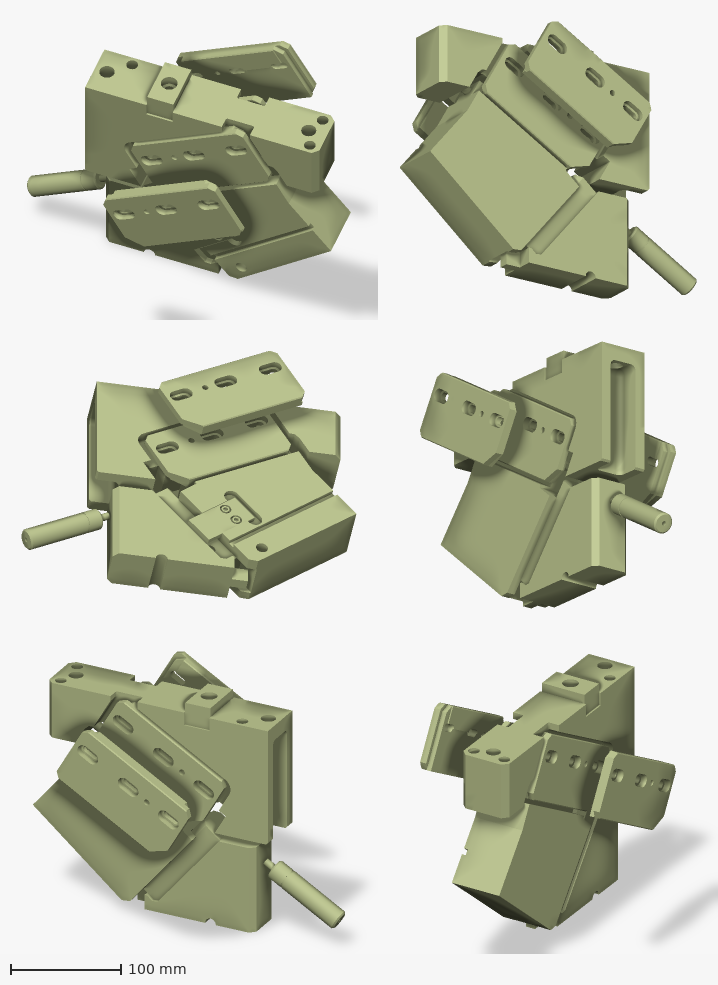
import cadquery as cq
import math


DRIVE_ANGLE = 30.0
SLIDE_ANGLE = 40.0
FRAME_TURN = math.radians(SLIDE_ANGLE - DRIVE_ANGLE)


def tilted_plane(angle):
    """XZ plane facing -Y, with its local x axis raised by the angle."""
    turn = math.radians(angle)
    return cq.Plane(origin=(0, 0, 0), xDir=(math.cos(turn), 0, math.sin(turn)), normal=(0, -1, 0))


LEVEL = tilted_plane(0)
DRIVE = tilted_plane(DRIVE_ANGLE)
SLIDE = tilted_plane(SLIDE_ANGLE)


def to_level(plane, points):
    """X and Z of points given in a tilted plane."""
    return [(v.x, v.z) for v in (plane.toWorldCoords(point) for point in points)]


def drive_to_slide(u, v):
    """Slide-frame position of a point given in the drive frame."""
    along = u * math.cos(FRAME_TURN) + v * math.sin(FRAME_TURN)
    across = v * math.cos(FRAME_TURN) - u * math.sin(FRAME_TURN)
    return along, across


def prism(plane, points, y_min, y_max):
    """Outline in the given plane, filled from y_min to y_max."""
    outline = cq.Workplane(plane).workplane(offset=-y_max).polyline(points).close()
    return outline.extrude(y_max - y_min)


def rectangle(x_min, x_max, y_min, y_max):
    """Corner points, counter-clockwise from the lower left."""
    return [(x_min, y_min), (x_max, y_min), (x_max, y_max), (x_min, y_max)]


def both_sides(body):
    """The body together with its mirror image across Y = 0."""
    return body.union(body.mirror("XZ"))


DRILL_TIP_ANGLE = 118.0


def drilled_hole(plane, place, depth, diameter):
    """Drill shape with a conical tip, entering at the place against the normal of the plane."""
    tip = diameter / 2 / math.tan(math.radians(DRILL_TIP_ANGLE / 2))
    half_section = [(0, 0), (diameter / 2, 0), (diameter / 2, -depth), (0, -depth - tip)]
    axis_plane = cq.Plane(plane.toWorldCoords(place), xDir=plane.xDir, normal=-plane.yDir)
    return cq.Workplane(axis_plane).polyline(half_section).close().revolve(360, (0, 0), (0, 1))


UNIT_WIDTH = 50.2
UNIT_HALF = UNIT_WIDTH / 2
DRIVER_HALF = 24.3
BASE_HALF = 19.8
KEY_HALF = 22.5
WEB_Y_MIN = -13.7
WEB_Y_MAX = 16.7

PLATE_LEFT = 95.5
PLATE_RIGHT = 221.0
PLATE_BOTTOM = 52.0
PLATE_TOP = 114.3
PLATE_CUT = 14.5
PLATE_CORNER = 5.8
PLATE_EDGE = 1.0
FLANGE_THICK = 6.5
PAD_THICK = 4.5
WEAR_THICK = 1.05
PAD_INSET = 4.3
PAD_CORNER = 7.3
PLATE_THICK = FLANGE_THICK + PAD_THICK + WEAR_THICK
PLATE_INNER = UNIT_HALF - PLATE_THICK
WITHDRAWN_SHIFT = 70.0
SLOT_PITCH = 47.5
SLOT_ROW = 94.0
SLOT_MIDDLE = 157.8
SLOT_PLACES = [(SLOT_MIDDLE + i * SLOT_PITCH, SLOT_ROW) for i in (-1, 0, 1)]
SLOT_LENGTH, SLOT_WIDTH = 17.0, 7.3
SEAT_LENGTH, SEAT_WIDTH, SEAT_DEPTH = 22.5, 12.0, 6.0
PIN_HOLE_PLACE = (136.0, SLOT_ROW)
PIN_HOLE_DIAMETER = 5.8


def make_plate():
    """Retaining plate of the -Y side, fitted in the driver."""
    flange_base = -(UNIT_HALF - FLANGE_THICK)
    flange_outline = [
        (PLATE_LEFT + PLATE_CUT, PLATE_BOTTOM),
        (PLATE_RIGHT - PLATE_CORNER, PLATE_BOTTOM),
        (PLATE_RIGHT, PLATE_BOTTOM + PLATE_CORNER),
        (PLATE_RIGHT, PLATE_TOP - PLATE_CORNER),
        (PLATE_RIGHT - PLATE_CORNER, PLATE_TOP),
        (PLATE_LEFT + PLATE_CORNER, PLATE_TOP),
        (PLATE_LEFT, PLATE_TOP - PLATE_CORNER),
        (PLATE_LEFT, PLATE_BOTTOM + PLATE_CUT),
    ]
    long_edges = cq.selectors.ParallelDirSelector(DRIVE.xDir)
    plate = prism(DRIVE, flange_outline, -UNIT_HALF, flange_base)
    plate = plate.faces("<Y").edges(long_edges).chamfer(PLATE_EDGE)

    pad_left = PLATE_LEFT + PAD_INSET
    pad_right = PLATE_RIGHT - PAD_INSET
    pad_outline = [
        (PLATE_LEFT + PLATE_CUT, PLATE_BOTTOM),
        (pad_right, PLATE_BOTTOM),
        (pad_right, PLATE_TOP - PAD_CORNER),
        (pad_right - PAD_CORNER, PLATE_TOP),
        (pad_left + PAD_CORNER, PLATE_TOP),
        (pad_left, PLATE_TOP - PAD_CORNER),
        (pad_left, PLATE_BOTTOM + PLATE_CUT),
    ]
    pad_inner = flange_base + PAD_THICK
    plate = plate.union(prism(DRIVE, pad_outline, flange_base, pad_inner))
    wear_outline = rectangle(pad_left + PAD_CORNER, pad_right - PAD_CORNER, SLOT_ROW, PLATE_TOP)
    wear_face = prism(DRIVE, wear_outline, pad_inner, -PLATE_INNER)
    top_edge = cq.selectors.DirectionMinMaxSelector(DRIVE.yDir, True)
    plate = plate.union(wear_face.faces(">Y").edges(top_edge).chamfer(PLATE_EDGE))

    face = cq.Workplane(DRIVE).workplane(offset=UNIT_HALF)
    plate = plate.cut(face.pushPoints(SLOT_PLACES).slot2D(SLOT_LENGTH, SLOT_WIDTH).extrude(-PLATE_THICK))
    plate = plate.cut(face.pushPoints(SLOT_PLACES).slot2D(SEAT_LENGTH, SEAT_WIDTH).extrude(-SEAT_DEPTH))
    pin_hole = face.pushPoints([PIN_HOLE_PLACE]).circle(PIN_HOLE_DIAMETER / 2).extrude(-PLATE_THICK)
    return plate.cut(pin_hole)


DRIVER_LEFT = -16.5
DRIVER_RIGHT = 209.2
DRIVER_TOP = 209.8
DRIVER_BOTTOM = 95.2
DRIVER_TOE = 154.8
DRIVER_CHAMFER = 5.5
BOTTOM_CHAMFER = 1.8
STOP_LEFT = 80.3
STOP_RIGHT = 233.0
RELIEF_TOP = 86.0
RELIEF_END = 98.8
UNDERSIDE = 73.3
RIGHT_RELIEF_START = 224.0
RIGHT_RELIEF_CORNER = (231.0, 68.0)
RIGHT_RELIEF_END = 62.5

CHANNEL_HALF = 14.3
CHANNEL_TOP = 195.2
CHANNEL_END = 6.5
CHANNEL_FILLET = 5.5

POCKET_LEFT, POCKET_RIGHT, POCKET_TOP = 88.5, 227.2, 117.7
POCKET_BOTTOM = 30.5
POCKET_CORNER = 10.5
POCKET_FLOOR_FILLET = 1.8
POCKET_MOUTH_LEFT, POCKET_MOUTH_RIGHT = 116.5, 143.8
POCKET_MOUTH_BOTTOM, POCKET_MOUTH_TOP = 200.7, 228.0
SCREW_HOLE_DIAMETER, SCREW_HOLE_DEPTH = 5.2, 7.5

DOWEL_DIAMETER, CENTER_HOLE_DIAMETER, DRAIN_DIAMETER = 10.5, 13.7, 14.0
TOP_HOLE_DEPTH = 30.5
DOWEL_Y = 16.0
DRILLED_PLACE = (13.7, DOWEL_Y)
DOWEL_PLACES = [(199.0, DOWEL_Y), (199.0, -DOWEL_Y)]
CENTER_HOLE_X = 191.5
DRAIN_X = -4.5

KEY_LEFT, KEY_RIGHT = 43.2, 68.7
KEY_TOP, KEY_BOTTOM = 219.0, 197.0
KEY_X = (KEY_LEFT + KEY_RIGHT) / 2
KEY_SEAT_DIAMETER, KEY_SEAT_DEPTH, KEY_HOLE_DIAMETER = 15.2, 9.0, 9.0
KEY_THREAD_DEPTH = 15.2


def top_hole(x, y, top, diameter, depth):
    return cq.Workplane("XY", origin=(x, y, top)).circle(diameter / 2).extrude(-depth)


def plate_pocket():
    """Pocket of the -Y side, open downwards and through the top face."""
    pocket_points = rectangle(POCKET_LEFT, POCKET_RIGHT, POCKET_BOTTOM, POCKET_TOP)
    pocket = prism(DRIVE, pocket_points, -UNIT_HALF, -PLATE_INNER)
    for corner_u in (POCKET_LEFT, POCKET_RIGHT):
        ((corner_x, corner_z),) = to_level(DRIVE, [(corner_u, POCKET_TOP)])
        corner = cq.selectors.NearestToPointSelector((corner_x, -UNIT_HALF, corner_z))
        pocket = pocket.edges("|Y").edges(corner).fillet(POCKET_CORNER)
    mouth = rectangle(POCKET_MOUTH_LEFT, POCKET_MOUTH_RIGHT, POCKET_MOUTH_BOTTOM, POCKET_MOUTH_TOP)
    pocket = pocket.union(prism(LEVEL, mouth, -UNIT_HALF, -PLATE_INNER))
    return pocket.faces(">Y").edges().fillet(POCKET_FLOOR_FILLET)


def make_driver():
    wall_turn = math.radians(DRIVE_ANGLE)

    def wall_crossing(wall, height):
        """Point of the given height on a wall that is square to the drive direction."""
        return (wall - height * math.sin(wall_turn)) / math.cos(wall_turn), height

    underside = to_level(
        DRIVE,
        [
            (STOP_LEFT, RELIEF_TOP),
            (RELIEF_END, RELIEF_TOP),
            (RELIEF_END, UNDERSIDE),
            (RIGHT_RELIEF_START, UNDERSIDE),
            RIGHT_RELIEF_CORNER,
            (STOP_RIGHT, RIGHT_RELIEF_END),
        ],
    )
    outline = [
        (DRIVER_LEFT, DRIVER_TOP),
        (DRIVER_LEFT, DRIVER_BOTTOM + BOTTOM_CHAMFER),
        (DRIVER_LEFT + BOTTOM_CHAMFER, DRIVER_BOTTOM),
        wall_crossing(STOP_LEFT, DRIVER_BOTTOM),
        *underside,
        wall_crossing(STOP_RIGHT, DRIVER_TOE),
        (DRIVER_RIGHT, DRIVER_TOE),
        (DRIVER_RIGHT, DRIVER_TOP),
    ]
    driver = prism(LEVEL, outline, -DRIVER_HALF, DRIVER_HALF)
    driver = driver.faces(">X").edges("|Z").chamfer(DRIVER_CHAMFER)

    channel_length = CHANNEL_END - DRIVER_LEFT
    channel_height = CHANNEL_TOP - DRIVER_BOTTOM
    channel = cq.Workplane("XY").rect(channel_length, 2 * CHANNEL_HALF).extrude(channel_height)
    channel = channel.edges("(>X and (not <Z)) or (|X and >Z)").fillet(CHANNEL_FILLET)
    driver = driver.cut(channel.translate((DRIVER_LEFT + channel_length / 2, 0, DRIVER_BOTTOM)))

    driver = driver.cut(both_sides(plate_pocket()))
    screw_face = cq.Workplane(DRIVE).workplane(offset=PLATE_INNER)
    screw_holes = screw_face.pushPoints(SLOT_PLACES).circle(SCREW_HOLE_DIAMETER / 2).extrude(-SCREW_HOLE_DEPTH)
    driver = driver.cut(both_sides(screw_holes))

    level_top = cq.Plane.XY()
    driver = driver.cut(drilled_hole(level_top, (*DRILLED_PLACE, DRIVER_TOP), TOP_HOLE_DEPTH, DOWEL_DIAMETER))
    for x, y in DOWEL_PLACES:
        driver = driver.cut(top_hole(x, y, DRIVER_TOP, DOWEL_DIAMETER, TOP_HOLE_DEPTH))
    driver = driver.cut(top_hole(CENTER_HOLE_X, 0, DRIVER_TOP, CENTER_HOLE_DIAMETER, TOP_HOLE_DEPTH))
    driver = driver.cut(top_hole(DRAIN_X, 0, DRIVER_TOP, DRAIN_DIAMETER, TOP_HOLE_DEPTH))
    driver = driver.cut(drilled_hole(level_top, (KEY_X, 0, KEY_BOTTOM), KEY_THREAD_DEPTH, KEY_HOLE_DIAMETER))

    key_slot = rectangle(KEY_LEFT, KEY_RIGHT, KEY_BOTTOM, DRIVER_TOP)
    driver = driver.cut(prism(LEVEL, key_slot, -DRIVER_HALF, DRIVER_HALF))
    return driver.union(both_sides(make_plate()))


def make_key():
    key = prism(LEVEL, rectangle(KEY_LEFT, KEY_RIGHT, KEY_BOTTOM, KEY_TOP), -KEY_HALF, KEY_HALF)
    return key.faces(">Z").workplane(origin=(KEY_X, 0, KEY_TOP)).cboreHole(
        KEY_HOLE_DIAMETER, KEY_SEAT_DIAMETER, KEY_SEAT_DEPTH
    )


BASE_TOP = 85.0
BASE_CHAMFER = 5.2
BASE_STEP_X = 111.5
TAB_END_X = 126.5
TAB_TOP = 14.5
TAB_HALF = 5.0
NOTCH_X, NOTCH_RADIUS = 44.5, 5.5
WEB_LEFT, WEB_RIGHT = 82.0, 107.0
WEB_TOP, WEB_BOTTOM = 41.5, -59.0
WEB_CHAMFER = 6.5
WEB_CORNER = 4.0
WEB_HOLE_PLACE = (85.0, -38.3)
WEB_HOLE_DIAMETER, WEB_HOLE_DEPTH = 10.0, 3.0


def make_base():
    slide_turn = math.radians(SLIDE_ANGLE)
    face_top_q = (BASE_TOP - WEB_LEFT * math.sin(slide_turn)) / math.cos(slide_turn)
    shelf_p = (TAB_TOP - WEB_BOTTOM * math.cos(slide_turn)) / math.sin(slide_turn)
    shelf = to_level(
        SLIDE,
        [
            (shelf_p, WEB_BOTTOM),
            (WEB_LEFT + WEB_CORNER, WEB_BOTTOM),
            (WEB_LEFT, WEB_BOTTOM + WEB_CORNER),
            (WEB_LEFT, face_top_q),
        ],
    )
    outline = [(0, 0), (BASE_STEP_X, 0), (BASE_STEP_X, TAB_TOP), *shelf, (0, BASE_TOP)]
    base = prism(LEVEL, outline, -BASE_HALF, BASE_HALF)
    base = base.faces("<X").edges("|Z").chamfer(BASE_CHAMFER)

    web = prism(SLIDE, rectangle(WEB_LEFT, WEB_RIGHT, WEB_BOTTOM, WEB_TOP), WEB_Y_MIN, WEB_Y_MAX)
    web_end = cq.selectors.ParallelDirSelector(SLIDE.yDir)
    right_end = cq.selectors.DirectionMinMaxSelector(SLIDE.xDir, True)
    web = web.faces(right_end).edges(web_end).chamfer(WEB_CHAMFER)
    web_hole = cq.Workplane(SLIDE).workplane(offset=-WEB_Y_MIN).center(*WEB_HOLE_PLACE)
    web = web.cut(web_hole.circle(WEB_HOLE_DIAMETER / 2).extrude(-WEB_HOLE_DEPTH))

    tab = prism(LEVEL, rectangle(BASE_STEP_X, TAB_END_X, 0, TAB_TOP), -TAB_HALF, TAB_HALF)
    notch = cq.Workplane(LEVEL).center(NOTCH_X, 0).circle(NOTCH_RADIUS).extrude(BASE_HALF, both=True)
    return base.cut(notch).union(web).union(tab)


SLIDER_LEFT, SLIDER_RIGHT = 99.7, 224.0
SLIDER_BOTTOM = -79.7
SLIDER_SHOULDER = 24.5
SLIDER_CORNER = 6.0
SLIDER_TOP = 47.7
TOP_LEFT, TOP_RIGHT = 112.8, 223.5
SHOULDER_END = 119.0
NECK_TOP = 65.7
NECK_HALF = 12.8
GROOVE_TOP, GROOVE_BOTTOM, GROOVE_DEPTH = -46.2, -52.0, 4.0
LIFT_HOLE_PLACE = (119.8, -68.5)
LIFT_HOLE_DIAMETER, LIFT_HOLE_DEPTH = 11.0, 12.2

ARM_LEFT, ARM_RIGHT = 84.0, 139.3
ARM_BOTTOM, ARM_TOP = -35.3, -6.5
ARM_OUTER, ARM_INNER = -24.3, -BASE_HALF
ARM_MIDDLE = (ARM_BOTTOM + ARM_TOP) / 2
ARM_SLOT_P, ARM_SLOT_RADIUS, ARM_SLOT_REACH = 137.2, 7.0, 16.5
ARM_SCREW_P, ARM_SCREW_OFFSET = 122.5, 7.5
ARM_SEAT_DIAMETER, ARM_HEAD_DIAMETER, ARM_SOCKET_DIAMETER = 10.5, 7.3, 5.0
ARM_SEAT_DEPTH, ARM_SOCKET_DEPTH = 3.0, 2.5

SPRING_AXIS = 57.2
PISTON_DIAMETER = 8.8


def make_slider():
    right_break = (SLIDER_RIGHT * math.cos(FRAME_TURN) - TOP_RIGHT) / math.sin(FRAME_TURN)
    outline = [
        (SLIDER_LEFT, SLIDER_BOTTOM + SLIDER_CORNER),
        (SLIDER_LEFT + SLIDER_CORNER, SLIDER_BOTTOM),
        (SLIDER_RIGHT, SLIDER_BOTTOM),
        (SLIDER_RIGHT, right_break),
        drive_to_slide(TOP_RIGHT, SLIDER_TOP),
        drive_to_slide(TOP_LEFT, SLIDER_TOP),
        (SHOULDER_END, SLIDER_SHOULDER),
        (SLIDER_LEFT, SLIDER_SHOULDER),
    ]
    slider = prism(SLIDE, outline, -UNIT_HALF, UNIT_HALF)
    web_slot = rectangle(SLIDER_LEFT, WEB_RIGHT, SLIDER_BOTTOM, SLIDER_SHOULDER)
    slider = slider.cut(prism(SLIDE, web_slot, WEB_Y_MIN, WEB_Y_MAX))
    neck = rectangle(TOP_LEFT, TOP_RIGHT, SLIDER_TOP, NECK_TOP)
    slider = slider.union(prism(DRIVE, neck, -NECK_HALF, NECK_HALF))

    groove = rectangle(SLIDER_LEFT, SLIDER_RIGHT, GROOVE_BOTTOM, GROOVE_TOP)
    slider = slider.cut(prism(SLIDE, groove, -UNIT_HALF, -UNIT_HALF + GROOVE_DEPTH))
    face = cq.Workplane(SLIDE).workplane(offset=UNIT_HALF)
    slider = slider.cut(drilled_hole(SLIDE, (*LIFT_HOLE_PLACE, UNIT_HALF), LIFT_HOLE_DEPTH, LIFT_HOLE_DIAMETER))

    slot_length = 2 * (ARM_SLOT_REACH + ARM_SLOT_RADIUS)
    arm_slot = face.center(ARM_SLOT_P, ARM_MIDDLE).slot2D(slot_length, 2 * ARM_SLOT_RADIUS, 90)
    slider = slider.cut(arm_slot.extrude(-(UNIT_HALF + ARM_INNER)))
    arm_outline = rectangle(ARM_LEFT, ARM_RIGHT, ARM_BOTTOM, ARM_TOP)
    slider = slider.cut(prism(SLIDE, arm_outline, -UNIT_HALF, ARM_INNER))
    slider = slider.union(make_arm(arm_outline))

    piston = cq.Workplane(cq.Plane(DRIVE.toWorldCoords((TOP_RIGHT, SPRING_AXIS)), normal=DRIVE.xDir))
    return slider.union(piston.circle(PISTON_DIAMETER / 2).extrude(STOP_RIGHT - TOP_RIGHT))


def make_arm(outline):
    """Retaining arm let into the -Y face, with the heads of its two screws sunk in."""
    arm = prism(SLIDE, outline, ARM_OUTER, ARM_INNER)
    face = cq.Workplane(SLIDE).workplane(offset=-ARM_OUTER)
    places = [(ARM_SCREW_P, ARM_MIDDLE + side * ARM_SCREW_OFFSET) for side in (-1, 1)]
    seats = face.pushPoints(places).circle(ARM_SEAT_DIAMETER / 2).circle(ARM_HEAD_DIAMETER / 2)
    arm = arm.cut(seats.extrude(-ARM_SEAT_DEPTH))
    sockets = face.pushPoints(places).polygon(6, ARM_SOCKET_DIAMETER)
    return arm.cut(sockets.extrude(-ARM_SOCKET_DEPTH))


SPRING_REAR, SPRING_FRONT = -56.0, 21.0
SPRING_RADIUS = 9.7
SPRING_CHAMFER = 1.5
SPRING_GROOVE, SPRING_GROOVE_WIDTH, SPRING_GROOVE_DEPTH = 4.5, 1.5, 0.45
ROD_RADIUS, ROD_END = 3.3, 31.0
VALVE_RADIUS, VALVE_DEPTH = 2.0, 4.5


def make_spring():
    groove_radius = SPRING_RADIUS - SPRING_GROOVE_DEPTH
    half_section = [
        (SPRING_REAR, VALVE_RADIUS),
        (SPRING_REAR, SPRING_RADIUS - SPRING_CHAMFER),
        (SPRING_REAR + SPRING_CHAMFER, SPRING_RADIUS),
        (SPRING_GROOVE, SPRING_RADIUS),
        (SPRING_GROOVE, groove_radius),
        (SPRING_GROOVE + SPRING_GROOVE_WIDTH, groove_radius),
        (SPRING_GROOVE + SPRING_GROOVE_WIDTH, SPRING_RADIUS),
        (SPRING_FRONT - SPRING_CHAMFER, SPRING_RADIUS),
        (SPRING_FRONT, SPRING_RADIUS - SPRING_CHAMFER),
        (SPRING_FRONT, ROD_RADIUS),
        (ROD_END, ROD_RADIUS),
        (ROD_END, 0),
        (SPRING_REAR + VALVE_DEPTH, 0),
        (SPRING_REAR + VALVE_DEPTH, VALVE_RADIUS),
    ]
    section = cq.Workplane(DRIVE).center(0, SPRING_AXIS).polyline(half_section).close()
    return section.revolve(360, (0, 0), (1, 0))


driver = make_driver()
key = make_key()
base = make_base()
slider = make_slider()
spring = make_spring()
front_plate = make_plate().translate((0, -WITHDRAWN_SHIFT, 0))
withdrawn_plates = [front_plate, front_plate.mirror("XZ")]

result = cq.Compound.makeCompound(
    [
        driver.val(),
        key.val(),
        base.val(),
        slider.val(),
        spring.val(),
        *[plate.val() for plate in withdrawn_plates],
    ]
)